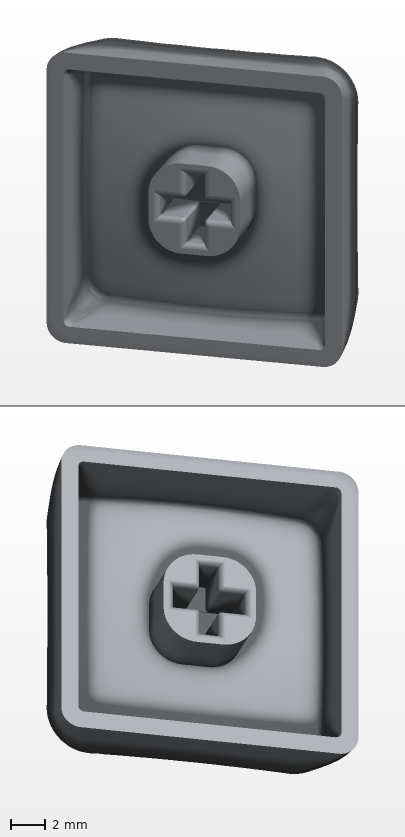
import cadquery as cq

RIM_X = 17.82
RIM_Z = 17.87
OUTER_SECTIONS = [
    (0, RIM_X, RIM_Z, 1.16),
    (0.9, 17.89, 17.84, 1.45),
    (2.86, 17.68, 17.45, 2.08),
    (5.72, 16.95, 16.58, 3.05),
]
TOP_EDGE_FILLET = 1.13

WALL = 1.02
CAVITY_SECTIONS = [
    (0, RIM_X - 2 * WALL, RIM_Z - 2 * WALL, 0.35),
    (2.33, 15.7, 15.53, 0.9),
    (4.65, 15.6, 15.2, 1.52),
]
FLOOR_FILLET = 0.27

DISH_RADIUS = 53.67
DISH_LOW_Y = 4.58
TOP_THICKNESS = 1.29
FLOOR_RADIUS = 42.05
FLOOR_LOW_Y = DISH_LOW_Y - TOP_THICKNESS

STEM_SIZE = 5.55
STEM_CORNER = 2.0
STEM_OVERLAP = 0.18
SLOT_LENGTH = 4.3
SLOT_X_WIDTH = 1.25
SLOT_Z_WIDTH = 1.13
SLOT_Z_DEPTH = 3.22
SOCKET_FILLET = 0.34
SOCKET_CORNER_FILLET = 0.18


def section_wire(y, size_x, size_z, radius):
    """Rounded rectangle centred on the Y axis at the given Y."""
    plane = cq.Workplane("XZ", origin=(0, y, 0))
    return plane.sketch().rect(size_x, size_z).vertices().fillet(radius).finalize()


def skirt_loft(sections):
    """Smooth solid through rounded-rectangle sections."""
    wires = [section_wire(*s)._getFaces()[0].outerWire() for s in sections]
    return cq.Workplane(obj=cq.Solid.makeLoft(wires))


def dish_sphere(low_y, radius):
    """Sphere whose lowest point lies on the Y axis at low_y."""
    return cq.Workplane("XY").sphere(radius).translate((0, low_y + radius, 0))


def block(size_x, size_z, depth):
    """Rectangular block running in from the rim plane."""
    return cq.Workplane("XZ").rect(size_x, size_z).extrude(-depth)


def make_body():
    body = skirt_loft(OUTER_SECTIONS).cut(dish_sphere(DISH_LOW_Y, DISH_RADIUS))
    return body.faces(">Y").edges().fillet(TOP_EDGE_FILLET)


def make_cavity(floor_sphere):
    cavity = skirt_loft(CAVITY_SECTIONS).cut(floor_sphere)
    return cavity.faces(">Y").edges().fillet(FLOOR_FILLET)


def make_stem():
    stem = block(STEM_SIZE, STEM_SIZE, FLOOR_LOW_Y + STEM_OVERLAP)
    return stem.edges("|Y").fillet(STEM_CORNER)


def make_socket(floor_sphere):
    """Cross-shaped socket whose X slot reaches the cavity floor."""
    slot_x = block(SLOT_LENGTH, SLOT_X_WIDTH, DISH_LOW_Y).cut(floor_sphere)
    slot_z = block(SLOT_Z_WIDTH, SLOT_LENGTH, SLOT_Z_DEPTH)
    return slot_x.union(slot_z)


def inner_corner_edges(body):
    """Four edges along Y where the two slots cross."""
    box = cq.selectors.BoxSelector(
        (-SLOT_X_WIDTH, -0.18, -SLOT_X_WIDTH), (SLOT_X_WIDTH, FLOOR_LOW_Y, SLOT_X_WIDTH)
    )
    return body.edges("|Y").edges(box)


def make_socketed_body():
    floor_sphere = dish_sphere(FLOOR_LOW_Y, FLOOR_RADIUS)
    shell = make_body().cut(make_cavity(floor_sphere)).union(make_stem())
    body = shell.cut(make_socket(floor_sphere))
    body = inner_corner_edges(body).fillet(SOCKET_CORNER_FILLET)
    mouth = cq.selectors.BoxSelector(
        (-STEM_SIZE / 2 + SOCKET_FILLET, -SOCKET_FILLET, -STEM_SIZE / 2 + SOCKET_FILLET),
        (STEM_SIZE / 2 - SOCKET_FILLET, SOCKET_FILLET, STEM_SIZE / 2 - SOCKET_FILLET),
        boundingbox=True,
    )
    return body.edges(mouth).fillet(SOCKET_FILLET)


result = make_socketed_body()